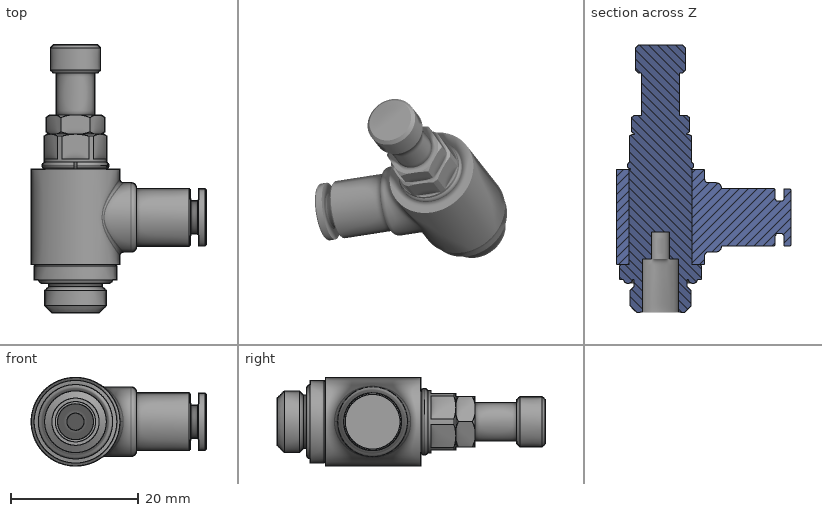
import cadquery as cq
import math


overall_x = 27.6
overall_y = 42.25

sleeve_radius = 14.0 / 2
sleeve_start = 7.6
sleeve_end = 22.65
branch_y = 15.05
branch_radius = 5.5
branch_shoulder_x = 9.65
branch_root_fillet = 0.5
tube_radius = 4.55
branch_shoulder_fillet = branch_radius - tube_radius
tube_end_x = 18.08
tube_chamfer = 0.2
tube_lip_radius = 2.87
tube_lip_length = 0.13
neck_radius = 2.6
neck_flare = 0.2
ring_radius = 4.5
ring_start_x = 19.4
ring_end_x = overall_x - sleeve_radius
ring_chamfer = 0.2

thread_end_radius = 3.7
thread_radius = 4.85
thread_lead_chamfer = thread_radius - thread_end_radius
thread_end = 3.5
relief_radius = 4.22
relief_start = thread_end + thread_radius - relief_radius
collar_radius = 6.5
collar_start = 5.2
collar_chamfer = 0.2
seal_ring_radius = 5.1
seal_bead_radius = 0.75
seal_y = 5.35

barrel_radius = 4.95
snap_ring_radius = 10.5 / 2
snap_ring_end = 23.75
snap_ring_half_height = (snap_ring_end - sleeve_end) / 2
snap_ring_gap = 0.5
snap_ring_gap_floor = 4.77
body_hex_flats = 8.95
body_hex_start = 24.25
body_hex_end = 28.15
body_hex_chamfer_width = 0.45
body_hex_chamfer_height = 0.3
nut_flats = 8.0
nut_corner_radius = nut_flats / 2 / math.cos(math.pi / 6)
nut_end = 31.15
nut_chamfer_radius = 4.1
nut_chamfer_height = 0.4

stem_radius = 3.05
knob_radius = 3.95
knob_start = 37.7
knob_end = overall_y
knob_chamfer = 0.5

counterbore_radius = 3.15
counterbore_depth = 0.13
bore_radius = 2.85
bore_depth = 8.45
orifice_radius = 1.35
orifice_depth = 12.67


def cylinder_y(radius, start, end):
    """Cylinder on the Y axis between two Y positions."""
    return cq.Workplane("XZ", origin=(0, start, 0)).circle(radius).extrude(start - end)


def cylinder_x(radius, start, end):
    """Cylinder on the branch axis between two X positions."""
    return cq.Workplane("YZ", origin=(start, branch_y, 0)).circle(radius).extrude(end - start)


def hexagon_y(flats, start, end):
    """Hexagonal prism on the Y axis with corners on the X axis."""
    corner_diameter = flats / math.cos(math.pi / 6)
    return cq.Workplane("XZ", origin=(0, start, 0)).polygon(6, corner_diameter).extrude(start - end)


def make_release_ring():
    """Neck that flares out to the push ring at the end of the branch."""
    profile = [
        (tube_end_x, 0),
        (tube_end_x, neck_radius),
        (ring_start_x - neck_flare, neck_radius),
        (ring_start_x, neck_radius + neck_flare),
        (ring_start_x, ring_radius),
        (ring_end_x - ring_chamfer, ring_radius),
        (ring_end_x, ring_radius - ring_chamfer),
        (ring_end_x, 0),
    ]
    outline = cq.Workplane("XY", origin=(0, branch_y, 0)).polyline(profile).close()
    return outline.revolve(360, (0, 0, 0), (1, 0, 0))


def make_housing():
    """Sleeve with its side branch, bored through for the core."""
    sleeve = cylinder_y(sleeve_radius, sleeve_start, sleeve_end)
    branch = cylinder_x(branch_radius, 0, branch_shoulder_x)
    branch = branch.faces(">X").edges().fillet(branch_shoulder_fillet)
    housing = sleeve.union(branch)

    root_reach = branch_radius + branch_root_fillet
    root = cq.selectors.BoxSelector(
        (branch_root_fillet, branch_y - root_reach, -root_reach),
        (sleeve_radius, branch_y + root_reach, root_reach),
    )
    housing = housing.edges(root).fillet(branch_root_fillet)

    tube = cylinder_x(tube_radius, 0, tube_end_x).faces(">X").chamfer(tube_chamfer)
    tube_lip = cylinder_x(tube_lip_radius, tube_end_x, tube_end_x + tube_lip_length)
    housing = housing.union(tube).union(tube_lip).union(make_release_ring())
    return housing.cut(cylinder_y(barrel_radius, sleeve_start, sleeve_end))


def make_thread_end():
    """Thread bar with a lead chamfer and a relief groove behind it."""
    profile = [
        (0, 0),
        (thread_end_radius, 0),
        (thread_radius, thread_lead_chamfer),
        (thread_radius, thread_end),
        (relief_radius, relief_start),
        (relief_radius, collar_start),
        (0, collar_start),
    ]
    return cq.Workplane("XY").polyline(profile).close().revolve(360, (0, 0, 0), (0, 1, 0))


def make_collar():
    """Collar under the sleeve with a round seal bead on its lower face."""
    collar = cylinder_y(collar_radius, collar_start, sleeve_start).faces(">Y").chamfer(collar_chamfer)
    seal = (
        cq.Workplane("XY")
        .center(seal_ring_radius, seal_y)
        .circle(seal_bead_radius)
        .revolve(360, (-seal_ring_radius, 0, 0), (-seal_ring_radius, 1, 0))
    )
    return collar.union(seal)


def make_snap_ring():
    """Rounded ring on top of the sleeve with a gap on the +Z side."""
    middle = sleeve_end + snap_ring_half_height
    tube_center = snap_ring_radius - snap_ring_half_height
    ring = (
        cq.Workplane("XY")
        .moveTo(0, sleeve_end)
        .lineTo(tube_center, sleeve_end)
        .radiusArc((snap_ring_radius, middle), -snap_ring_half_height)
        .radiusArc((tube_center, snap_ring_end), -snap_ring_half_height)
        .lineTo(0, snap_ring_end)
        .close()
        .revolve(360, (0, 0, 0), (0, 1, 0))
    )
    gap = (
        cq.Workplane("XY", origin=(0, middle, snap_ring_gap_floor))
        .rect(snap_ring_gap, snap_ring_end - sleeve_end)
        .extrude(snap_ring_radius)
    )
    return ring.cut(gap)


def make_body_hex():
    """Round bar with six flats and a chamfered end."""
    hex_bar = cylinder_y(barrel_radius, body_hex_start, body_hex_end)
    hex_bar = hex_bar.faces(">Y").chamfer(body_hex_chamfer_height, body_hex_chamfer_width)
    hex_bar = hex_bar.intersect(hexagon_y(body_hex_flats, body_hex_start, body_hex_end))
    return hex_bar.union(cylinder_y(barrel_radius, snap_ring_end, body_hex_start))


def make_nut():
    """Hexagon nut with its corners chamfered at both ends."""
    profile = [
        (0, body_hex_end),
        (nut_chamfer_radius, body_hex_end),
        (nut_corner_radius, body_hex_end + nut_chamfer_height),
        (nut_corner_radius, nut_end - nut_chamfer_height),
        (nut_chamfer_radius, nut_end),
        (0, nut_end),
    ]
    envelope = cq.Workplane("XY").polyline(profile).close().revolve(360, (0, 0, 0), (0, 1, 0))
    return hexagon_y(nut_flats, body_hex_end, nut_end).intersect(envelope)


def make_knob():
    """Adjusting stem with a chamfered knob."""
    stem = cylinder_y(stem_radius, nut_end, knob_start)
    knob = cylinder_y(knob_radius, knob_start, knob_end).faces("<Y or >Y").chamfer(knob_chamfer)
    return stem.union(knob)


def make_bore():
    """Counterbore, bore and orifice to cut from the thread end."""
    counterbore = cylinder_y(counterbore_radius, 0, counterbore_depth)
    bore = cylinder_y(bore_radius, 0, bore_depth)
    orifice = cylinder_y(orifice_radius, 0, orifice_depth)
    return counterbore.union(bore).union(orifice)


def make_core():
    """All features on the main axis, joined into one body."""
    barrel = cylinder_y(barrel_radius, sleeve_start, sleeve_end)
    core = make_thread_end().union(make_collar()).union(barrel)
    core = core.union(make_snap_ring()).union(make_body_hex())
    core = core.union(make_nut()).union(make_knob())
    return core.cut(make_bore())


housing = make_housing()
core = make_core()

result = cq.Compound.makeCompound([housing.solids().val(), core.solids().val()])